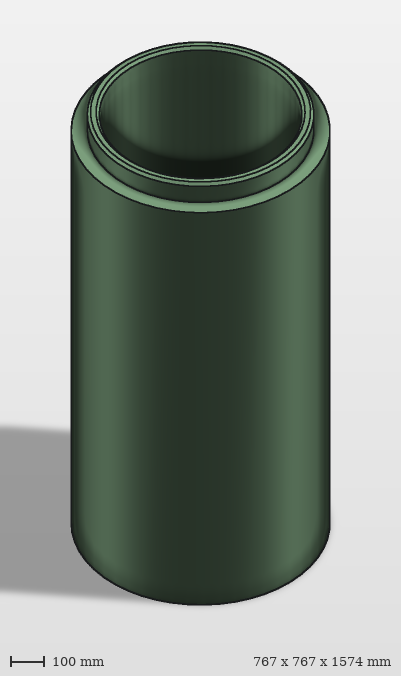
import cadquery as cq

height = 1574.0
outer_diameter = 767.0
bore_diameter = 600.0

spigot_diameter = 670.0
spigot_height = 71.0
rim_chamfer = 10.0

body_height = height - spigot_height


def outer_shape():
    """Pipe body with the narrower spigot standing on its top face."""
    body = cq.Workplane("XY").circle(outer_diameter / 2).extrude(body_height)
    return body.faces(">Z").workplane().circle(spigot_diameter / 2).extrude(spigot_height)


def add_bore(solid):
    """Straight bore through the full height."""
    return solid.faces(">Z").workplane().hole(bore_diameter)


def chamfer_rim(solid):
    """Equal chamfers on the inner and outer edges of the spigot's end face."""
    return solid.faces(">Z").edges().chamfer(rim_chamfer)


result = chamfer_rim(add_bore(outer_shape()))